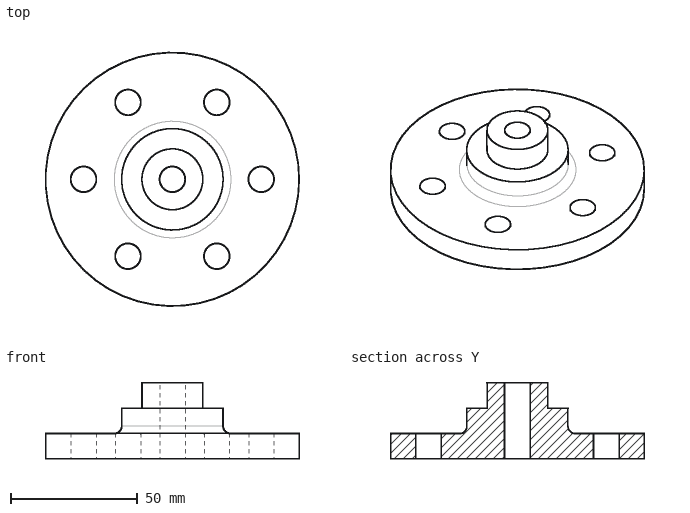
import cadquery as cq

step_height = 10
flange_diameter = 100
shoulder_diameter = 40
boss_diameter = 24
fillet_radius = 3

hole_diameter = 10
bolt_circle_radius = 35
bolt_count = 6


def disc(diameter, level):
    """Disc one step high, standing on the given step level."""
    base = cq.Workplane("XY").workplane(offset=level * step_height)
    return base.circle(diameter / 2).extrude(step_height)


body = disc(flange_diameter, 0).union(disc(shoulder_diameter, 1))
shoulder_foot = cq.selectors.RadiusNthSelector(0)
body = body.faces("<Z[1]").edges(shoulder_foot).fillet(fillet_radius)

body = body.union(disc(boss_diameter, 2))

total_height = 3 * step_height
bore = cq.Workplane("XY").circle(hole_diameter / 2).extrude(total_height)
bolt_holes = (
    cq.Workplane("XY")
    .polarArray(bolt_circle_radius, 0, 360, bolt_count)
    .circle(hole_diameter / 2)
    .extrude(step_height)
)

result = body.cut(bore).cut(bolt_holes)